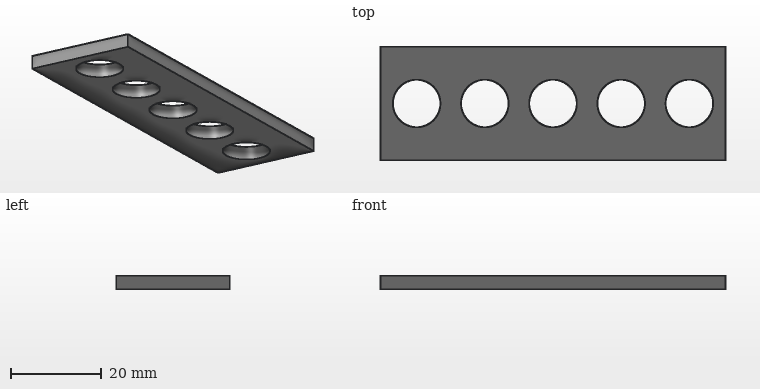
import cadquery as cq

plate_length = 76.0
plate_width = 25.0
plate_thickness = 3.0

hole_diameter = 10.41
hole_count = 5
hole_pitch = 15.0


def make_plate():
    """Plain rectangular plate."""
    return cq.Workplane("XY").box(
        plate_length, plate_width, plate_thickness, centered=(True, True, False)
    )


def cut_hole_row(plate):
    """Cut the evenly spaced holes through the full thickness."""
    first_hole_x = -hole_pitch * (hole_count - 1) / 2
    centers = [(first_hole_x + i * hole_pitch, 0) for i in range(hole_count)]
    return plate.faces(">Z").workplane(origin=(0, 0, 0)).pushPoints(centers).hole(hole_diameter)


result = cut_hole_row(make_plate())